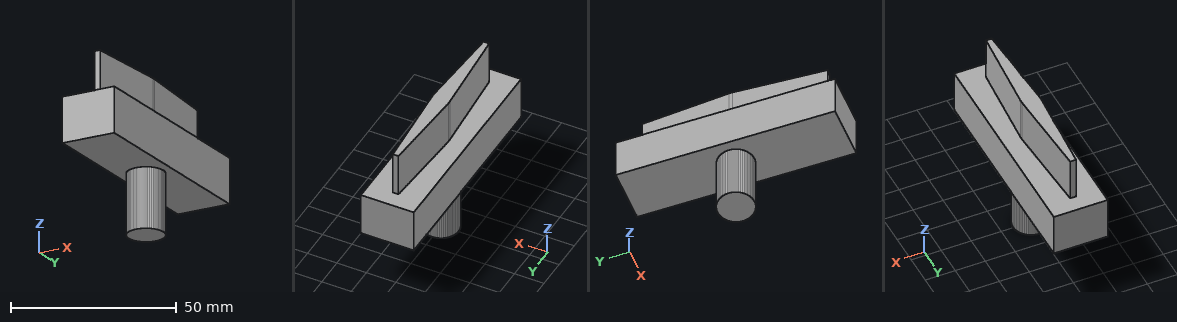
import cadquery as cq

base_width = 18.0
base_length = 71.0
base_height = 15.0

blade_height = 15.0
blade_length = 60.0
blade_middle_width = 5.95
blade_end_width = 2.0
flat_near = 0.15
flat_far = 1.15

shaft_diameter = 12.0
shaft_length = 19.8
shaft_sides = 64


def make_base():
    return cq.Workplane("XY").box(
        base_width, base_length, base_height, centered=(True, True, False)
    )


def make_blade():
    """Tapered blade; its two sides match under a half turn about Z."""
    half_end = blade_end_width / 2
    half_middle = blade_middle_width / 2
    half_length = blade_length / 2
    left_side = [
        (half_end, half_length),
        (-half_end, half_length),
        (-half_middle, flat_far),
        (-half_middle, flat_near),
    ]
    right_side = [(-x, -y) for x, y in left_side]
    return (
        cq.Workplane("XY", origin=(0, 0, base_height))
        .polyline(left_side[1:] + right_side + left_side[:1])
        .close()
        .extrude(blade_height)
    )


def make_shaft():
    return cq.Workplane("XY").polygon(shaft_sides, shaft_diameter).extrude(-shaft_length)


result = make_base().union(make_blade()).union(make_shaft())